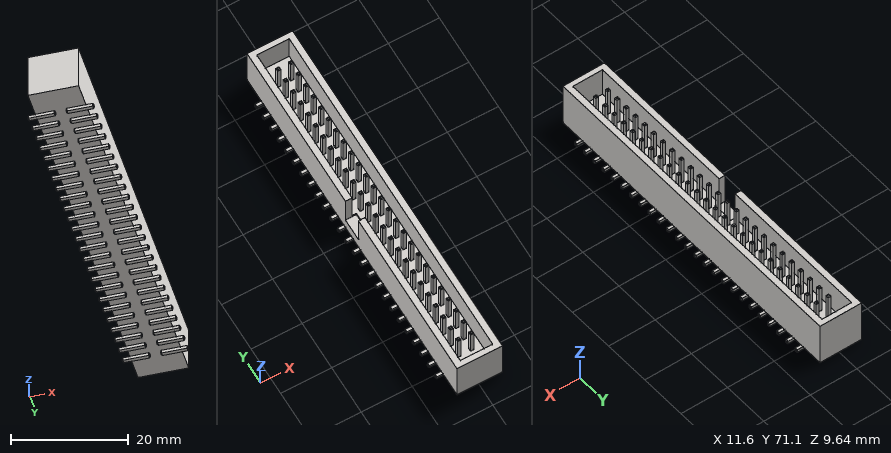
import cadquery as cq

CONTACTS_PER_ROW = 25
PITCH = 2.54

WIRE = 0.64
TIP_CHAMFER = WIRE / 4
LEAD_SPAN = 11.6
PIN_TOP_GAP = 0.3

HOUSING_WIDTH = 8.95
HOUSING_LENGTH = (CONTACTS_PER_ROW + 3) * PITCH
HOUSING_HEIGHT = 9.0
HOUSING_TOP = WIRE + HOUSING_HEIGHT

CAVITY_WIDTH = 6.35
CAVITY_LENGTH = 68.9
CAVITY_DEPTH = 6.0

SLOT_WIDTH = 4.4
SLOT_REACH = 2.15
SLOT_DEPTH = 6.4


def box_from(z_bottom, size_x, size_y, size_z):
    """Box centred on X = Y = 0 whose underside is at z_bottom."""
    box = cq.Workplane("XY").box(size_x, size_y, size_z, centered=(True, True, False))
    return box.translate((0, 0, z_bottom))


def make_housing():
    block = box_from(WIRE, HOUSING_WIDTH, HOUSING_LENGTH, HOUSING_HEIGHT)
    cavity = box_from(HOUSING_TOP - CAVITY_DEPTH, CAVITY_WIDTH, CAVITY_LENGTH, CAVITY_DEPTH)
    slot = box_from(HOUSING_TOP - SLOT_DEPTH, SLOT_REACH, SLOT_WIDTH, SLOT_DEPTH)
    slot_x = (SLOT_REACH - HOUSING_WIDTH) / 2
    return block.cut(cavity).cut(slot.translate((slot_x, 0, 0)))


def make_contact():
    """One contact of the +X row: a pin standing in the cavity above a lead that runs outward."""
    pin_x = PITCH / 2
    pin = box_from(WIRE, WIRE, WIRE, HOUSING_HEIGHT - PIN_TOP_GAP)
    pin = pin.faces(">Z").chamfer(TIP_CHAMFER).translate((pin_x, 0, 0))

    lead_inner = pin_x - WIRE / 2
    lead_outer = LEAD_SPAN / 2
    lead = box_from(0, lead_outer - lead_inner, WIRE, WIRE)
    lead = lead.faces("<X or >X").chamfer(TIP_CHAMFER)
    lead = lead.translate(((lead_inner + lead_outer) / 2, 0, 0))
    return pin.union(lead)


def add_contacts(housing):
    right_contact = make_contact()
    left_contact = right_contact.mirror("YZ")
    first_y = -(CONTACTS_PER_ROW - 1) * PITCH / 2
    contacts = []
    for index in range(CONTACTS_PER_ROW):
        offset = (0, first_y + index * PITCH, 0)
        contacts.append(right_contact.translate(offset).val())
        contacts.append(left_contact.translate(offset).val())
    return cq.Workplane(housing.val().fuse(*contacts))


result = add_contacts(make_housing())